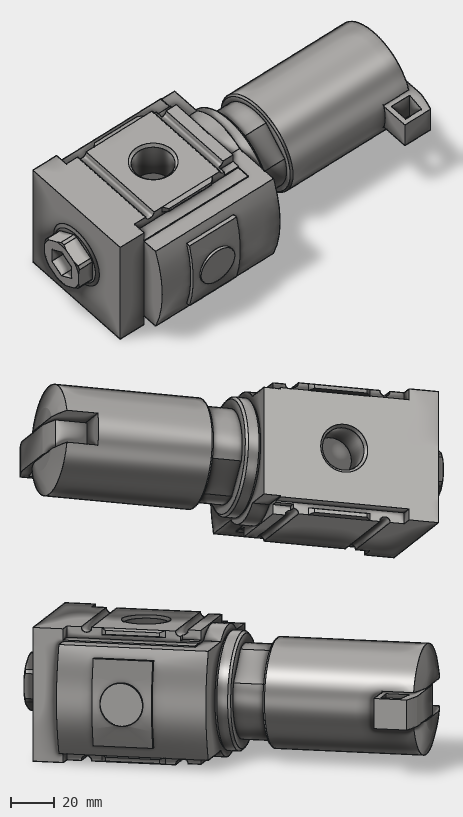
import cadquery as cq
import math


HOUSING_WIDTH = 62.0
HOUSING_HALF = HOUSING_WIDTH / 2
END_FACE_Y = -45.5
END_BLOCK_Y = -31.3
PAD_END_Y = 30.5
HOUSING_TOP_Y = 38.6
CORE_HALF_Z = 25.3
BAND_HALF_Z = 25.8
PAD_HALF_X = 24.1
SHOULDER_ARC_HALF = 15.0
SHOULDER_CROWN_Z = 30.5

GROOVE_RADIUS = 2.5
GROOVE_Y = 22.0
CORNER_NOTCH_WIDTH = 4.0
CORNER_NOTCH_FLOOR_Z = 26.5
RAIL_X = 26.4
RAIL_BASE_HALF_LENGTH = 14.9
RAIL_TIP_HALF_LENGTH = 12.6
RAIL_BOTTOM_Z = 27.7
RAIL_BEVEL = 0.8

PORT_DIAMETER = 20.0
PORT_MOUTH_DIAMETER = 22.6
PORT_DEPTH = 18.8

COVER_EDGE_X = 39.2
COVER_CROWN_X = 44.0
GAUGE_Y = -0.4
PLATE_HALF_Y = 14.0
PLATE_HALF_Z = 20.2
PLATE_EDGE_X = 43.0
PLATE_CROWN_X = 45.6
BUTTON_DIAMETER = 20.0
BUTTON_REACH = 77.5
BUTTON_FACE_X = BUTTON_REACH - HOUSING_HALF

COLLAR_BASE_DIAMETER = 32.5
COLLAR_TOP_DIAMETER = 28.7
COLLAR_HEIGHT = 0.8
PLUG_FACE_Y = -54.3
PLUG_FLATS = 24.1
PLUG_CORNER_DIAMETER = 26.8
PLUG_CHAMFER_WIDTH = 1.0
PLUG_CHAMFER_DEPTH = 0.5
SOCKET_FLATS = 13.8
SOCKET_DEPTH = 7.5

RING_DIAMETER = 55.0
RING_TOP_Y = 46.0
RING_CHAMFER = 1.1
NECK_DIAMETER = 44.1
NECK_FLATS = 40.0
KNOB_DIAMETER = 51.0
KNOB_BOTTOM_Y = 60.7
KNOB_RIM_Y = 131.2
KNOB_TOP_Y = 134.2
KNOB_CHAMFER = 1.0
CROWN_RADIUS = 76.7

SLOT_WIDTH = 15.0
SLOT_FLOOR_Y = 116.3
SLIDE_WIDTH = 14.0
SLIDE_SHIFT = 15.0
SLIDE_WALL = 2.6
SLIDE_HOLE_LEFT_X = 26.8
SLIDE_HOLE_CORNER_Y = 128.4
SLIDE_HOLE_TOP_Y = 129.7

KNOB_RADIUS = KNOB_DIAMETER / 2
CROWN_CENTER_Y = KNOB_RIM_Y - math.sqrt(CROWN_RADIUS**2 - KNOB_RADIUS**2)
CROWN_FLAT_RADIUS = math.sqrt(CROWN_RADIUS**2 - (KNOB_TOP_Y - CROWN_CENTER_Y) ** 2)
SLIDE_HALF_LENGTH = math.sqrt(KNOB_RADIUS**2 - (SLOT_WIDTH / 2) ** 2)


def box(x_range, y_range, z_range):
    """Box between the given limits along each axis."""
    sizes = [high - low for low, high in (x_range, y_range, z_range)]
    corner = cq.Vector(x_range[0], y_range[0], z_range[0])
    return cq.Workplane(cq.Solid.makeBox(*sizes, corner))


def section_at(y):
    """Sketch plane across the long axis, facing +Y (its local x points to -X)."""
    return cq.Workplane(cq.Plane((0, y, 0), xDir=(-1, 0, 0), normal=(0, 1, 0)))


def turned(diameter, y_start, y_end):
    """Cylinder on the long axis."""
    return section_at(y_start).circle(diameter / 2).extrude(y_end - y_start)


def both_z_sides(feature):
    """The feature together with its mirror image below Z = 0."""
    return feature.union(feature.mirror("XY"))


def make_shell():
    """End block, low side bands, top shoulder and raised port pads."""
    full = (-HOUSING_HALF, HOUSING_HALF)
    shell = box(full, (END_FACE_Y, END_BLOCK_Y), full)
    shell = shell.union(box(full, (END_BLOCK_Y, PAD_END_Y), (-BAND_HALF_Z, BAND_HALF_Z)))
    shell = shell.union(box(full, (PAD_END_Y, HOUSING_TOP_Y), (-CORE_HALF_Z, CORE_HALF_Z)))
    pads = box((-PAD_HALF_X, PAD_HALF_X), (END_BLOCK_Y, PAD_END_Y), full)
    return shell.union(pads)


def make_shoulder_crowns():
    """Rounded crowns on the top shoulder, above and below."""
    crown = (
        section_at(PAD_END_Y)
        .moveTo(-SHOULDER_ARC_HALF, CORE_HALF_Z)
        .threePointArc((0, SHOULDER_CROWN_Z), (SHOULDER_ARC_HALF, CORE_HALF_Z))
        .lineTo(SHOULDER_ARC_HALF, 0)
        .lineTo(-SHOULDER_ARC_HALF, 0)
        .close()
        .extrude(HOUSING_TOP_Y - PAD_END_Y)
    )
    return both_z_sides(crown)


def make_pad_cuts():
    """Round grooves across the pads and the notches at their upper corners."""
    cuts = cq.Workplane()
    for y in (-GROOVE_Y, GROOVE_Y):
        groove = (
            cq.Workplane("YZ", origin=(-PAD_HALF_X, 0, 0))
            .center(y, HOUSING_HALF)
            .circle(GROOVE_RADIUS)
            .extrude(2 * PAD_HALF_X)
        )
        cuts = cuts.add(groove)
    for x in (-PAD_HALF_X, PAD_HALF_X - CORNER_NOTCH_WIDTH):
        notch = box(
            (x, x + CORNER_NOTCH_WIDTH), (GROOVE_Y, PAD_END_Y), (CORNER_NOTCH_FLOOR_Z, HOUSING_HALF)
        )
        cuts = cuts.add(notch)
    return both_z_sides(cuts.combine())


def make_rails():
    """Bevelled rails on both sides of each pad."""
    profile = (
        section_at(-RAIL_BASE_HALF_LENGTH)
        .polyline([
            (PAD_HALF_X, RAIL_BOTTOM_Z),
            (RAIL_X, RAIL_BOTTOM_Z + RAIL_BEVEL),
            (RAIL_X, HOUSING_HALF - RAIL_BEVEL),
            (PAD_HALF_X, HOUSING_HALF),
        ])
        .close()
        .extrude(2 * RAIL_BASE_HALF_LENGTH)
    )
    outline = (
        cq.Workplane("XY")
        .polyline([
            (-PAD_HALF_X, -RAIL_BASE_HALF_LENGTH),
            (-RAIL_X, -RAIL_TIP_HALF_LENGTH),
            (-RAIL_X, RAIL_TIP_HALF_LENGTH),
            (-PAD_HALF_X, RAIL_BASE_HALF_LENGTH),
        ])
        .close()
        .extrude(HOUSING_HALF)
    )
    rail = profile.intersect(outline)
    return both_z_sides(rail.union(rail.mirror("YZ")))


def make_port(plane):
    """Cutter for a blind port with a 45 degree countersink, bored inward from its mouth."""
    countersink = (PORT_MOUTH_DIAMETER - PORT_DIAMETER) / 2
    return (
        cq.Workplane(plane)
        .circle(PORT_DIAMETER / 2)
        .extrude(-PORT_DEPTH)
        .union(
            cq.Workplane(plane)
            .circle(PORT_MOUTH_DIAMETER / 2)
            .extrude(-countersink, taper=45)
        )
    )


def crowned_slab(edge_x, crown_x, half_z, y_range):
    """Slab on the +X side whose outer face is an arc, highest at Z = 0."""
    return (
        cq.Workplane("XZ", origin=(0, y_range[1], 0))
        .moveTo(HOUSING_HALF, -half_z)
        .lineTo(edge_x, -half_z)
        .threePointArc((crown_x, 0), (edge_x, half_z))
        .lineTo(HOUSING_HALF, half_z)
        .close()
        .extrude(y_range[1] - y_range[0])
    )


def make_cover():
    """Side cover with its gauge plate and round button."""
    cover = crowned_slab(COVER_EDGE_X, COVER_CROWN_X, CORE_HALF_Z, (END_BLOCK_Y, HOUSING_TOP_Y))
    plate_y_range = (GAUGE_Y - PLATE_HALF_Y, GAUGE_Y + PLATE_HALF_Y)
    plate = crowned_slab(PLATE_EDGE_X, PLATE_CROWN_X, PLATE_HALF_Z, plate_y_range)
    button = (
        cq.Workplane("YZ", origin=(HOUSING_HALF, GAUGE_Y, 0))
        .circle(BUTTON_DIAMETER / 2)
        .extrude(BUTTON_FACE_X - HOUSING_HALF)
    )
    return cover.union(plate).union(button)


def hexagon(y, flats, length):
    """Hexagonal prism toward +Y from y, with corners on the Z axis."""
    corner_diameter = flats / math.cos(math.pi / 6)
    return section_at(y).transformed(rotate=(0, 0, 90)).polygon(6, corner_diameter).extrude(length)


def make_plug():
    """Hexagonal plug with trimmed and chamfered corners, a conical collar and a hexagonal socket."""
    plug = hexagon(PLUG_FACE_Y, PLUG_FLATS, END_FACE_Y - PLUG_FACE_Y)
    envelope = turned(PLUG_CORNER_DIAMETER, PLUG_FACE_Y, END_FACE_Y)
    envelope = envelope.faces("<Y").chamfer(PLUG_CHAMFER_DEPTH, PLUG_CHAMFER_WIDTH)
    plug = plug.intersect(envelope)
    collar = cq.Solid.makeCone(
        COLLAR_BASE_DIAMETER / 2,
        COLLAR_TOP_DIAMETER / 2,
        COLLAR_HEIGHT,
        pnt=cq.Vector(0, END_FACE_Y, 0),
        dir=cq.Vector(0, -1, 0),
    )
    return plug.union(cq.Workplane(collar)).cut(hexagon(PLUG_FACE_Y, SOCKET_FLATS, SOCKET_DEPTH))


def make_neck():
    """Chamfered ring and the neck above it, which has two diagonal flats."""
    ring = turned(RING_DIAMETER, HOUSING_TOP_Y, RING_TOP_Y).edges().chamfer(RING_CHAMFER)
    neck_length = KNOB_BOTTOM_Y - RING_TOP_Y
    flats = section_at(RING_TOP_Y).transformed(rotate=(0, 0, -45)).rect(NECK_FLATS, NECK_DIAMETER)
    neck = turned(NECK_DIAMETER, RING_TOP_Y, KNOB_BOTTOM_Y).intersect(flats.extrude(neck_length))
    return ring.union(neck)


def crown_y(radius):
    """Y of the spherical crown at a distance from its axis."""
    return CROWN_CENTER_Y + math.sqrt(CROWN_RADIUS**2 - radius**2)


def make_knob():
    """Knob with a chamfered foot, a crowned top and the slot for the lock slide."""
    arc_middle = (KNOB_RADIUS + CROWN_FLAT_RADIUS) / 2
    knob = (
        cq.Workplane("XY")
        .moveTo(0, KNOB_BOTTOM_Y)
        .lineTo(KNOB_RADIUS - KNOB_CHAMFER, KNOB_BOTTOM_Y)
        .lineTo(KNOB_RADIUS, KNOB_BOTTOM_Y + KNOB_CHAMFER)
        .lineTo(KNOB_RADIUS, KNOB_RIM_Y)
        .threePointArc((arc_middle, crown_y(arc_middle)), (CROWN_FLAT_RADIUS, KNOB_TOP_Y))
        .lineTo(0, KNOB_TOP_Y)
        .close()
        .revolve(360, (0, 0, 0), (0, 1, 0))
    )
    slot = box(
        (-KNOB_RADIUS, KNOB_RADIUS), (SLOT_FLOOR_Y, KNOB_TOP_Y), (-SLOT_WIDTH / 2, SLOT_WIDTH / 2)
    )
    return knob.cut(slot)


def make_regulator():
    """Housing, side cover, end plug, neck and slotted knob as one solid."""
    top_port = cq.Plane((0, 0, HOUSING_HALF), xDir=(1, 0, 0), normal=(0, 0, 1))
    side_port = cq.Plane((-HOUSING_HALF, 0, 0), xDir=(0, 1, 0), normal=(-1, 0, 0))
    return (
        make_shell()
        .union(make_shoulder_crowns())
        .cut(make_pad_cuts())
        .union(make_rails())
        .cut(make_port(top_port))
        .cut(make_port(side_port))
        .union(make_cover())
        .union(make_plug())
        .union(make_neck())
        .union(make_knob())
    )


def make_lock_slide():
    """Slide in the knob slot, crowned like the knob, with a padlock hole in its outer end."""
    left_x = SLIDE_SHIFT - SLIDE_HALF_LENGTH
    right_x = SLIDE_SHIFT + SLIDE_HALF_LENGTH
    flat_left_x = SLIDE_SHIFT - CROWN_FLAT_RADIUS
    flat_right_x = SLIDE_SHIFT + CROWN_FLAT_RADIUS
    end_y = crown_y(SLIDE_HALF_LENGTH)
    arc_middle = (SLIDE_HALF_LENGTH + CROWN_FLAT_RADIUS) / 2
    arc_middle_y = crown_y(arc_middle)
    slide = (
        cq.Workplane("XY", origin=(0, 0, -SLIDE_WIDTH / 2))
        .moveTo(left_x, SLOT_FLOOR_Y)
        .lineTo(right_x, SLOT_FLOOR_Y)
        .lineTo(right_x, end_y)
        .threePointArc((SLIDE_SHIFT + arc_middle, arc_middle_y), (flat_right_x, KNOB_TOP_Y))
        .lineTo(flat_left_x, KNOB_TOP_Y)
        .threePointArc((SLIDE_SHIFT - arc_middle, arc_middle_y), (left_x, end_y))
        .close()
        .extrude(SLIDE_WIDTH)
    )
    hole_right_x = right_x - SLIDE_WALL
    hole = (
        cq.Workplane("XY", origin=(0, 0, -SLIDE_WIDTH / 2))
        .moveTo(SLIDE_HOLE_LEFT_X, SLOT_FLOOR_Y + SLIDE_WALL)
        .lineTo(hole_right_x, SLOT_FLOOR_Y + SLIDE_WALL)
        .lineTo(hole_right_x, SLIDE_HOLE_CORNER_Y)
        .lineTo(SLIDE_HOLE_LEFT_X, SLIDE_HOLE_TOP_Y)
        .close()
        .extrude(SLIDE_WIDTH)
    )
    return slide.cut(hole)


regulator = make_regulator()
lock_slide = make_lock_slide()
result = cq.Compound.makeCompound([regulator.val(), lock_slide.val()])